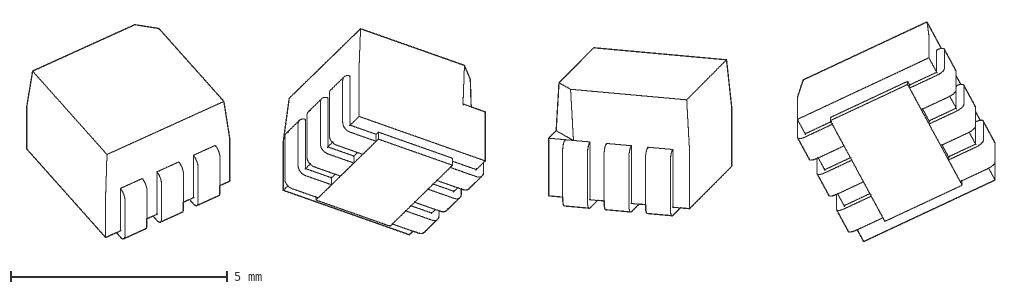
import cadquery as cq

overall_length = 3.8
overall_height = 2.8
body_width = 3.4

lead_thickness = (overall_length - body_width) / 2
lead_width = 0.6
lead_pitch = 1.0
leads_per_side = 3
lead_top = 1.6

pad_length = 2.0
pad_width = 2.8

taper_inset = 0.1
corner_cut = 0.6


def make_housing():
    """Square base with a tapered top that has one corner cut off."""
    base = (
        cq.Workplane("XY", origin=(0, 0, lead_thickness))
        .rect(body_width, body_width)
        .extrude(lead_top - lead_thickness)
    )
    top_width = body_width - 2 * taper_inset
    upper = (
        cq.Workplane("XY", origin=(0, 0, lead_top))
        .rect(body_width, body_width)
        .workplane(offset=overall_height - lead_top)
        .rect(top_width, top_width)
        .loft(ruled=True)
    )
    half = body_width / 2
    corner = (
        cq.Workplane("XY", origin=(0, 0, lead_top))
        .moveTo(-half, half)
        .lineTo(-half, half - corner_cut)
        .lineTo(-half + corner_cut, half)
        .close()
        .extrude(overall_height - lead_top)
    )
    return base.union(upper.cut(corner))


def make_pad():
    """Flat thermal pad under the housing."""
    return cq.Workplane("XY").rect(pad_length, pad_width).extrude(lead_thickness)


def make_lead(side, y_center):
    """L-shaped lead: up the housing side (side = -1 or 1) and under it to the pad."""
    outer = side * overall_length / 2
    wall = side * body_width / 2
    foot_end = side * pad_length / 2
    return (
        cq.Workplane("XZ", origin=(0, y_center, 0))
        .moveTo(foot_end, 0)
        .lineTo(wall, 0)
        .radiusArc((outer, lead_thickness), -side * lead_thickness)
        .lineTo(outer, lead_top - lead_thickness)
        .radiusArc((wall, lead_top), -side * lead_thickness)
        .lineTo(wall, lead_thickness)
        .lineTo(foot_end, lead_thickness)
        .close()
        .extrude(lead_width / 2, both=True)
    )


housing = make_housing()
pad = make_pad()
leads = []
for side in (-1, 1):
    for index in range(leads_per_side):
        y_center = (index - (leads_per_side - 1) / 2) * lead_pitch
        leads.append(make_lead(side, y_center).val())

result = cq.Compound.makeCompound([housing.val(), pad.val(), *leads])